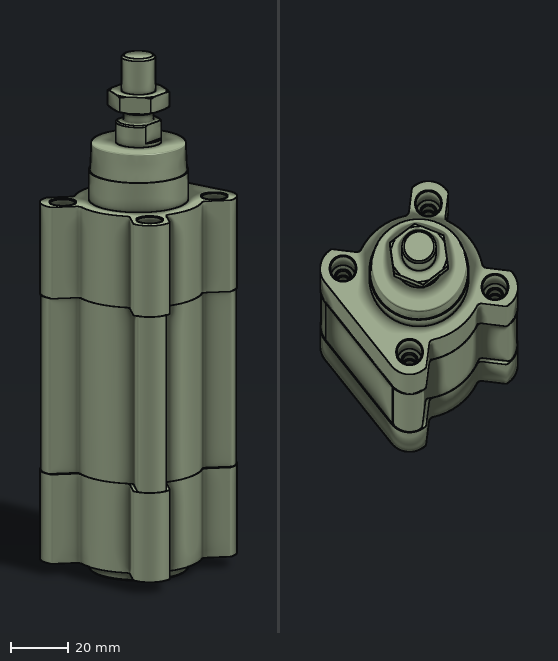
import cadquery as cq
import math

TOTAL_HEIGHT = 186.9
WIDTH = 54.0

REAR_CAP_BOTTOM_Z = 4.5
BARREL_BOTTOM_Z = 37.0
BARREL_TOP_Z = 101.1
FRONT_CAP_TOP_Z = 134.4
COLLAR_TOP_Z = 145.0
BUSHING_TOP_Z = 155.3

CAP_CORE_DIAMETER = 45.5
CAP_LUG_DIAMETER = 16.0
CAP_LUG_THICKNESS = 12.9
CAP_LUG_TIP_FILLET = 1.1
CAP_LUG_ROOT_FILLET = 1.7

BARREL_CORE_DIAMETER = 45.2
BARREL_LUG_DIAMETER = 15.5
BARREL_LUG_THICKNESS = 10.3
BARREL_LUG_TIP_FILLET = 1.9
BARREL_LUG_ROOT_FILLET = 1.3

LUG_OFFSET = (WIDTH - CAP_LUG_DIAMETER) / 2

COLLAR_DIAMETER = 35.0
REAR_COLLAR_CHAMFER = 0.5
BUSHING_BOTTOM_DIAMETER = 34.2
BUSHING_TOP_DIAMETER = 33.3
BUSHING_TOP_FILLET = 0.5

HOLE_MOUTH_DIAMETER = 9.5
HOLE_DIAMETER = 8.8
HOLE_DEPTH = 15.0
COUNTERSINK_DIAMETER = 6.0
HOLE_THREAD_DIAMETER = 4.9
HOLE_THREAD_DEPTH = 7.5
DRILL_DIAMETER = 4.5
DRILL_RUNOUT = 1.9
DRILL_POINT_ANGLE = 118.0

ROD_DIAMETER = 16.0
ROD_BOTTOM_Z = BARREL_TOP_Z
ROD_SHOULDER_Z = 163.2
ROD_SHOULDER_CHAMFER = 0.5
FLATS_BOTTOM_Z = 156.6
FLATS_WIDTH = 13.0
NECK_DIAMETER = 10.7
NECK_FILLET = 0.4
THREAD_DIAMETER = 12.0
THREAD_START_Z = 167.5
THREAD_RUNOUT_ANGLE = 30.0
THREAD_TIP_CHAMFER = 0.7

NUT_BOTTOM_Z = 168.0
NUT_THICKNESS = 6.0
NUT_ACROSS_FLATS = 19.0
NUT_CHAMFER_DEPTH = 1.1
NUT_CHAMFER_HEIGHT = 0.4


def cylinder(diameter, bottom_z, top_z):
    return cq.Workplane("XY").workplane(offset=bottom_z).circle(diameter / 2).extrude(top_z - bottom_z)


def turned(outline):
    """Solid of revolution about Z from (radius, z) points."""
    return cq.Workplane("XZ").polyline(outline).close().revolve(360, (0, 0, 0), (0, 1, 0))


def lugged_section(core_diameter, lug_diameter, lug_thickness, tip_fillet, root_fillet, bottom_z, top_z):
    """Round core with four diagonal lugs, filled out flat between the two lugs on the +Y side."""
    height = top_z - bottom_z
    reach = LUG_OFFSET + lug_diameter / 2
    plane = cq.Workplane("XY").workplane(offset=bottom_z)

    square = plane.rect(2 * reach, 2 * reach).extrude(height).edges("|Z").fillet(lug_diameter / 2)
    square = square.rotate((0, 0, 0), (0, 0, 1), 45)
    lug_pair = plane.rect(4 * reach, lug_thickness).extrude(height).intersect(square)
    lug_pair = lug_pair.edges("|Z and (>Y or <Y)").fillet(tip_fillet)

    section = cylinder(core_diameter, bottom_z, top_z)
    for angle in (45, 135):
        section = section.union(lug_pair.rotate((0, 0, 0), (0, 0, 1), angle))

    r = core_diameter / 2
    core_box = cq.selectors.BoxSelector((-r, -r, bottom_z), (r, r, top_z))
    section = section.edges("|Z").edges(core_box).fillet(root_fillet)

    flat_back = plane.center(0, reach / 2).rect(2 * LUG_OFFSET, reach).extrude(height)
    return section.union(flat_back)


def end_cap(bottom_z, top_z):
    return lugged_section(
        CAP_CORE_DIAMETER,
        CAP_LUG_DIAMETER,
        CAP_LUG_THICKNESS,
        CAP_LUG_TIP_FILLET,
        CAP_LUG_ROOT_FILLET,
        bottom_z,
        top_z,
    )


def barrel():
    return lugged_section(
        BARREL_CORE_DIAMETER,
        BARREL_LUG_DIAMETER,
        BARREL_LUG_THICKNESS,
        BARREL_LUG_TIP_FILLET,
        BARREL_LUG_ROOT_FILLET,
        BARREL_BOTTOM_Z,
        BARREL_TOP_Z,
    )


def bushing():
    """Slightly tapered ring on the front collar, rounded at its top edge."""
    outline = [
        (0, COLLAR_TOP_Z),
        (BUSHING_BOTTOM_DIAMETER / 2, COLLAR_TOP_Z),
        (BUSHING_TOP_DIAMETER / 2, BUSHING_TOP_Z),
        (0, BUSHING_TOP_Z),
    ]
    return turned(outline).faces(">Z").edges().fillet(BUSHING_TOP_FILLET)


def mounting_hole():
    """Counterbore with a countersunk, threaded core hole in its floor; the mouth is centred on the origin."""
    mouth = HOLE_MOUTH_DIAMETER / 2
    bore = HOLE_DIAMETER / 2
    countersink = COUNTERSINK_DIAMETER / 2
    thread = HOLE_THREAD_DIAMETER / 2
    drill = DRILL_DIAMETER / 2
    countersink_floor = -HOLE_DEPTH - (countersink - thread)
    thread_floor = -HOLE_DEPTH - HOLE_THREAD_DEPTH
    drill_floor = thread_floor - DRILL_RUNOUT
    drill_tip = drill_floor - drill / math.tan(math.radians(DRILL_POINT_ANGLE / 2))
    return turned([
        (0, 0),
        (mouth, 0),
        (bore, bore - mouth),
        (bore, -HOLE_DEPTH),
        (countersink, -HOLE_DEPTH),
        (thread, countersink_floor),
        (thread, thread_floor),
        (drill, thread_floor),
        (drill, drill_floor),
        (0, drill_tip),
    ])


def make_housing():
    rear_collar = cylinder(COLLAR_DIAMETER, 0, REAR_CAP_BOTTOM_Z).faces("<Z").chamfer(REAR_COLLAR_CHAMFER)
    front_collar = cylinder(COLLAR_DIAMETER, FRONT_CAP_TOP_Z, COLLAR_TOP_Z)
    housing = (
        rear_collar.union(end_cap(REAR_CAP_BOTTOM_Z, BARREL_BOTTOM_Z))
        .union(barrel())
        .union(end_cap(BARREL_TOP_Z, FRONT_CAP_TOP_Z))
        .union(front_collar)
        .union(bushing())
    )
    hole = mounting_hole()
    for x in (-LUG_OFFSET, LUG_OFFSET):
        for y in (-LUG_OFFSET, LUG_OFFSET):
            housing = housing.cut(hole.translate((x, y, FRONT_CAP_TOP_Z)))
    rod_bore = cylinder(ROD_DIAMETER, ROD_BOTTOM_Z, BUSHING_TOP_Z)
    return housing.cut(rod_bore)


def flats_cutter():
    """Two blocks beside the rod that leave the wrench flats facing -X and +X."""
    block_size = 2 * ROD_DIAMETER
    block_offset = (FLATS_WIDTH + block_size) / 2
    return (
        cq.Workplane("XY").workplane(offset=FLATS_BOTTOM_Z)
        .pushPoints([(-block_offset, 0), (block_offset, 0)])
        .rect(block_size, block_size)
        .extrude(ROD_SHOULDER_Z - FLATS_BOTTOM_Z)
    )


def make_rod():
    shank = cylinder(ROD_DIAMETER, ROD_BOTTOM_Z, ROD_SHOULDER_Z).faces(">Z").chamfer(ROD_SHOULDER_CHAMFER)
    shank = shank.cut(flats_cutter())

    neck = NECK_DIAMETER / 2
    thread = THREAD_DIAMETER / 2
    runout_height = (thread - neck) / math.tan(math.radians(THREAD_RUNOUT_ANGLE))
    stud = (
        cq.Workplane("XZ")
        .moveTo(0, ROD_SHOULDER_Z)
        .lineTo(neck + NECK_FILLET, ROD_SHOULDER_Z)
        .radiusArc((neck, ROD_SHOULDER_Z + NECK_FILLET), NECK_FILLET)
        .lineTo(neck, THREAD_START_Z - runout_height)
        .lineTo(thread, THREAD_START_Z)
        .lineTo(thread, TOTAL_HEIGHT - THREAD_TIP_CHAMFER)
        .lineTo(thread - THREAD_TIP_CHAMFER, TOTAL_HEIGHT)
        .lineTo(0, TOTAL_HEIGHT)
        .close()
        .revolve(360, (0, 0, 0), (0, 1, 0))
    )
    return shank.union(stud)


def make_nut():
    """Hexagon with two corners on the Y axis, its corners bevelled at both ends."""
    top_z = NUT_BOTTOM_Z + NUT_THICKNESS
    across_corners = NUT_ACROSS_FLATS / math.cos(math.radians(30))
    plane = cq.Workplane("XY").workplane(offset=NUT_BOTTOM_Z)
    hexagon = plane.polygon(6, across_corners).extrude(NUT_THICKNESS).rotate((0, 0, 0), (0, 0, 1), 90)
    corner = across_corners / 2
    bevelled_blank = turned([
        (0, NUT_BOTTOM_Z),
        (corner - NUT_CHAMFER_DEPTH, NUT_BOTTOM_Z),
        (corner, NUT_BOTTOM_Z + NUT_CHAMFER_HEIGHT),
        (corner, top_z - NUT_CHAMFER_HEIGHT),
        (corner - NUT_CHAMFER_DEPTH, top_z),
        (0, top_z),
    ])
    thread_hole = cylinder(THREAD_DIAMETER, NUT_BOTTOM_Z, top_z)
    return hexagon.intersect(bevelled_blank).cut(thread_hole)


housing = make_housing()
rod = make_rod()
nut = make_nut()
result = cq.Compound.makeCompound([body.solids().val() for body in (housing, rod, nut)])